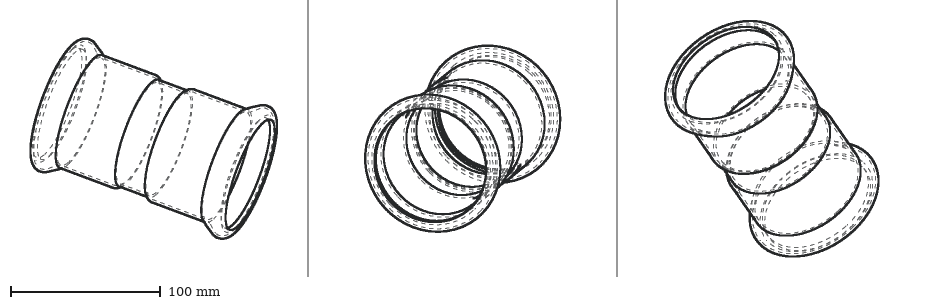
import cadquery as cq
import math

length = 142.0
wall = 2.0
half_length = length / 2

mouth_radius = 78.5 / 2
socket_radius = 76.7 / 2
bore_radius = 72.1 / 2
body_radius = socket_radius + wall
neck_radius = bore_radius + wall

rim_radius = 94.5 / 2
bead_radius = 5.5
hollow_radius = bead_radius - wall
bead_center_radius = rim_radius - bead_radius
hollow_end_radius = 40.0
lip_depth = 3.5

bead_end = 8.1
flare_end = 17.5
socket_end = 55.2
neck_start = 60.0
seat_end = 14.9
hollow_end = 13.0

flare_angle = math.acos((bead_end - bead_radius) / bead_radius)


def bead_point(radius, angle):
    """Point on a circle about the bead center, as (distance from end, radius)."""
    return (
        bead_radius + radius * math.cos(angle),
        bead_center_radius + radius * math.sin(angle),
    )


def on_axis(point):
    """Convert distance from the left end into an X position."""
    return (point[0] - half_length, point[1])


def step_middle(start_radius, end_radius):
    """Middle point of the arc that rounds the step to the neck."""
    diagonal = math.sqrt(0.5)
    return (
        socket_end + (neck_start - socket_end) * diagonal,
        end_radius + (start_radius - end_radius) * diagonal,
    )


def half_coupling():
    """Left half of the coupling, from its end face to the middle plane."""
    profile = (
        cq.Workplane("XY")
        .moveTo(*on_axis((0, mouth_radius)))
        .lineTo(*on_axis((0, bead_center_radius)))
        .threePointArc(
            on_axis(bead_point(bead_radius, (math.pi + flare_angle) / 2)),
            on_axis(bead_point(bead_radius, flare_angle)),
        )
        .tangentArcPoint(on_axis((flare_end, body_radius)), relative=False)
        .lineTo(*on_axis((socket_end, body_radius)))
        .threePointArc(
            on_axis(step_middle(body_radius, neck_radius)),
            on_axis((neck_start, neck_radius)),
        )
        .lineTo(0, neck_radius)
        .lineTo(0, bore_radius)
        .lineTo(*on_axis((neck_start, bore_radius)))
        .threePointArc(
            on_axis(step_middle(socket_radius, bore_radius)),
            on_axis((socket_end, socket_radius)),
        )
        .lineTo(*on_axis((flare_end, socket_radius)))
        .lineTo(*on_axis((seat_end, mouth_radius)))
        .lineTo(*on_axis((hollow_end, hollow_end_radius)))
        .lineTo(*on_axis(bead_point(hollow_radius, flare_angle)))
        .threePointArc(
            on_axis(bead_point(hollow_radius, (math.pi + flare_angle) / 2)),
            on_axis(bead_point(hollow_radius, math.pi)),
        )
        .lineTo(*on_axis((lip_depth, mouth_radius)))
        .close()
    )
    return profile.revolve(360, (0, 0, 0), (1, 0, 0))


left_half = half_coupling()
result = left_half.union(left_half.mirror("YZ")).clean()